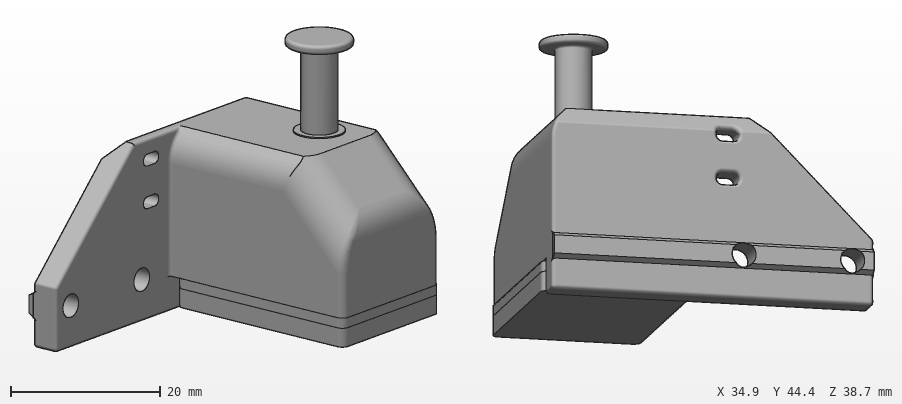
import cadquery as cq

plate_length = 44.28
plate_thickness = 4.0
housing_height = 25.4
plate_front_height = 9.0
edge_radius = 0.5

housing_end_x = 34.0
block_depth = 20.2
block_bottom_z = 4.95
top_chamfer = 2.5
big_radius = 5.0
nose_leg = 8.0
nose_angle = 45
corner_radius = 1.0

rail_depth = 0.85
rail_end_inset = 0.1
rail_tip_height = 2.5
rail_root_height = 3.5
rail_center_z = 5.9

mount_hole_diameter = 3.3
mount_hole_ys = (3.05, 18.05)

slot_width = 1.7
slot_straight = 1.5
slot_y = 20.0
slot_zs = (16.45, 22.43)

cover_start_x = 5.05
cover_overhang = 0.15
cover_seam_z = 3.5
cover_bottom_z = 0.85

plunger_x = 19.5
plunger_y = 36.65
shaft_diameter = 5.0
bush_diameter = 7.0
bush_length = 5.0
bush_stand_out = 0.18
head_diameter = 9.25
head_thickness = 1.2
plunger_top_z = 38.7
head_top_radius = 0.5
head_bottom_radius = 0.4
neck_radius = 0.25

plate_top_front_y = housing_height - plate_front_height
shoulder_z = housing_height - top_chamfer
block_front_y = plate_length - block_depth
block_middle_y = plate_length - block_depth / 2
bush_bottom_z = housing_height - bush_length
head_bottom_z = plunger_top_z - head_thickness

tolerance = 0.005


def side_prism(points, start_x, end_x):
    """Extrude a (Y, Z) outline along X."""
    plane = cq.Workplane("YZ", origin=(start_x, 0, 0))
    return plane.polyline(points).close().extrude(end_x - start_x)


def round_edge_along_x(solid, y, z, radius):
    """Fillet the edge parallel to X that passes nearest to (y, z)."""
    middle_x = solid.val().Center().x
    edge = cq.selectors.NearestToPointSelector((middle_x, y, z))
    return solid.edges("|X").edges(edge).fillet(radius)


def is_rounded(edge):
    """True for the outline edges of both plate faces and for the low crosswise edges."""
    box = edge.BoundingBox()
    runs_across = box.ylen < tolerance and box.zlen < tolerance
    if runs_across:
        return box.zmax < plate_front_height + edge_radius
    on_bevel_rim = box.zmin > housing_height - edge_radius and box.xmax < plate_thickness - edge_radius
    return not on_bevel_rim


def make_plate():
    """Upright plate with a sloped front, a rounded back shoulder and a bevelled outer rim."""
    outline = [
        (0, 0),
        (0, plate_front_height),
        (plate_top_front_y, housing_height),
        (plate_length - top_chamfer, housing_height),
        (plate_length, shoulder_z),
        (plate_length, 0),
    ]
    plate = side_prism(outline, 0, plate_thickness)
    plate = round_edge_along_x(plate, plate_length, shoulder_z, big_radius)
    bevel = (
        cq.Workplane("XZ")
        .polyline([(0, shoulder_z), (0, housing_height), (top_chamfer, housing_height)])
        .close()
        .extrude(-plate_length)
    )
    plate = plate.cut(bevel)
    rounded = [edge for edge in plate.edges().vals() if is_rounded(edge)]
    return plate.newObject(rounded).fillet(edge_radius)


def make_block():
    """Body of the housing, reaching into the plate just past its edge rounding."""
    outline = [
        (block_front_y, block_bottom_z),
        (block_front_y, shoulder_z),
        (block_front_y + top_chamfer, housing_height),
        (plate_length - top_chamfer, housing_height),
        (plate_length, shoulder_z),
        (plate_length, block_bottom_z),
    ]
    start_x = plate_thickness - edge_radius
    block = side_prism(outline, start_x, housing_end_x)
    for y in (block_front_y, plate_length):
        block = round_edge_along_x(block, y, shoulder_z, big_radius)
    return block.intersect(make_nose_envelope(start_x))


def make_nose_envelope(start_x):
    """Square-topped block with a sloped nose and the roundings around that nose."""
    nose_start_x = housing_end_x - nose_leg
    nose_end_z = housing_height - nose_leg
    outline = (
        cq.Workplane("XZ", origin=(0, plate_length, 0))
        .polyline([
            (start_x, block_bottom_z),
            (start_x, housing_height),
            (nose_start_x, housing_height),
            (housing_end_x, nose_end_z),
            (housing_end_x, block_bottom_z),
        ])
        .close()
        .extrude(block_depth)
    )
    nose_edge = cq.selectors.NearestToPointSelector((housing_end_x, block_middle_y, nose_end_z))
    outline = outline.edges("|Y").edges(nose_edge).fillet(big_radius)

    bar_size = 4 * housing_end_x
    sloped_bar = (
        cq.Workplane("XY")
        .box(bar_size, block_depth, bar_size, centered=(True, True, False))
        .translate((0, 0, -bar_size))
        .edges("|X and >Z")
        .fillet(big_radius)
        .rotate((0, 0, 0), (0, 1, 0), nose_angle)
        .translate((nose_start_x, block_middle_y, housing_height))
    )
    envelope = outline.intersect(sloped_bar)
    return envelope.faces(">X").edges("|Z").fillet(corner_radius)


def wedge_along_plate(outer_x, outer_half_height, inner_x, inner_half_height, end_inset):
    """Bar along Y whose height changes evenly from outer_x to inner_x."""
    return (
        cq.Workplane("XZ", origin=(0, end_inset, rail_center_z))
        .polyline([
            (outer_x, -outer_half_height),
            (outer_x, outer_half_height),
            (inner_x, inner_half_height),
            (inner_x, -inner_half_height),
        ])
        .close()
        .extrude(2 * end_inset - plate_length)
    )


def make_rail():
    """Wedge-sided rail; its flanks run on into the plate to the depth of the edge rounding."""
    flank_rise = (rail_root_height - rail_tip_height) / 2
    half_tip = rail_tip_height / 2
    half_root = rail_root_height / 2
    half_inner = half_root + flank_rise * edge_radius / rail_depth
    rail = wedge_along_plate(-rail_depth, half_tip, 0, half_root, rail_end_inset)
    return rail.union(wedge_along_plate(0, half_root, edge_radius, half_inner, 0))


def make_slot(z):
    """Tool for a slot through the plate, lying along Y."""
    outer_face = cq.Workplane("YZ", origin=(0, slot_y, z))
    return outer_face.slot2D(slot_straight + slot_width, slot_width).extrude(plate_thickness)


def round_slot_mouth(housing, z):
    """Fillet the rim of a slot where it opens on the outer face."""
    half_width = slot_width / 2 + edge_radius / 2
    half_length = half_width + slot_straight / 2
    mouth = cq.selectors.BoxSelector(
        (-edge_radius, slot_y - half_length, z - half_width),
        (plate_thickness / 2, slot_y + half_length, z + half_width),
        boundingbox=True,
    )
    return housing.edges(mouth).fillet(edge_radius)


def round_inner_corner(housing):
    """Fill the corner where the front side of the block stands on the plate."""
    corner = cq.selectors.BoxSelector(
        (plate_thickness - tolerance, block_front_y - tolerance, block_bottom_z - tolerance),
        (plate_thickness + tolerance, block_middle_y, housing_height),
        boundingbox=True,
    )
    return housing.edges(corner).fillet(edge_radius)


def make_housing():
    """Plate, block and rail in one piece, with slots, mounting holes and the bush seat."""
    housing = make_plate().union(make_block()).union(make_rail())
    housing = round_inner_corner(housing)
    for z in slot_zs:
        housing = housing.cut(make_slot(z))
        housing = round_slot_mouth(housing, z)
    for y in mount_hole_ys:
        hole = (
            cq.Workplane("YZ", origin=(-rail_depth, y, rail_center_z))
            .circle(mount_hole_diameter / 2)
            .extrude(rail_depth + plate_thickness)
        )
        housing = housing.cut(hole)
    bush_seat = (
        cq.Workplane("XY", origin=(plunger_x, plunger_y, bush_bottom_z))
        .circle(bush_diameter / 2)
        .extrude(bush_length)
    )
    return housing.cut(bush_seat)


def make_cover(bottom_z, top_z):
    """One layer under the block with rounded upright corners."""
    depth = block_depth + cover_overhang
    length = housing_end_x - cover_start_x
    return (
        cq.Workplane("XY", origin=(cover_start_x, block_front_y, bottom_z))
        .box(length, depth, top_z - bottom_z, centered=False)
        .edges("|Z")
        .fillet(corner_radius)
    )


def make_bush():
    """Guide ring for the plunger, standing slightly above the housing."""
    return (
        cq.Workplane("XY", origin=(plunger_x, plunger_y, bush_bottom_z))
        .circle(bush_diameter / 2)
        .circle(shaft_diameter / 2)
        .extrude(bush_length + bush_stand_out)
    )


def make_plunger():
    """Round shaft with a flat, rounded head."""
    head = (
        cq.Workplane("XY", origin=(plunger_x, plunger_y, head_bottom_z))
        .circle(head_diameter / 2)
        .extrude(head_thickness)
        .faces(">Z")
        .edges()
        .fillet(head_top_radius)
        .faces("<Z")
        .edges()
        .fillet(head_bottom_radius)
    )
    shaft = (
        cq.Workplane("XY", origin=(plunger_x, plunger_y, bush_bottom_z))
        .circle(shaft_diameter / 2)
        .extrude(head_bottom_z - bush_bottom_z)
    )
    head_center = cq.selectors.NearestToPointSelector((plunger_x, plunger_y, head_bottom_z))
    neck_edge = cq.selectors.RadiusNthSelector(0)
    return head.union(shaft).faces(head_center).edges(neck_edge).fillet(neck_radius)


housing = make_housing()
gasket = make_cover(cover_seam_z, block_bottom_z)
base_cover = make_cover(cover_bottom_z, cover_seam_z)
bush = make_bush()
plunger = make_plunger()

result = cq.Compound.makeCompound([
    housing.val(),
    gasket.val(),
    base_cover.val(),
    bush.val(),
    plunger.val(),
])